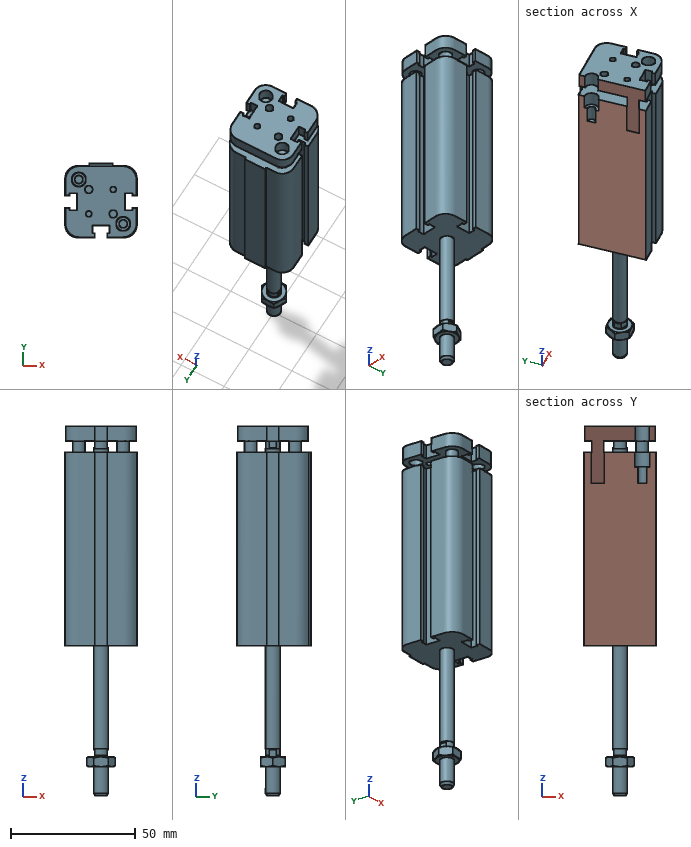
import cadquery as cq
import math

housing_width = 29.0
housing_bottom = 60.5
housing_top = 138.5
rail_width = 9.5
rail_height = 0.9

plate_width = 28.5
plate_bottom = 143.0
plate_top = 149.0

corner_center = 9.1
pin_offset = 9.0

slot_mouth_width = 4.9
slot_inner_width = 6.7
slot_lip = 12.7
slot_floor = 9.7
slot_angles = (0, 180, 270)

rod_diameter = 6.0
neck_diameter = 5.8
upper_neck_length = 3.1
lower_neck_length = 2.7
neck_collar = 0.5
neck_gap = 0.6
rod_flats = 5.0
tip_chamfer_height = 1.2
tip_chamfer_width = 0.7

pin_diameter = 5.0
pin_depth = 12.5

mounting_hole_diameter = 3.3
mounting_hole_depth = 12.5
counterbore_diameter = 6.0
counterbore_depth = 6.0
access_hole_diameter = 5.5

fixing_offset = 4.9
fixing_hole_large = 3.1
fixing_hole_small = 2.4

nut_bottom = 11.8
nut_height = 4.0
nut_flats = 10.0
nut_face_diameter = 9.8
nut_chamfer_angle = 30

pin_points = [(-pin_offset, -pin_offset), (pin_offset, pin_offset)]
mounting_points = [(-pin_offset, pin_offset), (pin_offset, -pin_offset)]
large_fixing_points = [(-fixing_offset, fixing_offset), (fixing_offset, -fixing_offset)]
small_fixing_points = [(-fixing_offset, -fixing_offset), (fixing_offset, fixing_offset)]
nut_top = nut_bottom + nut_height
lower_neck_top = nut_top + neck_gap + lower_neck_length


def block(x_range, y_range, z_range):
    """Box between the given limits."""
    size = [high - low for low, high in (x_range, y_range, z_range)]
    corner = (x_range[0], y_range[0], z_range[0])
    return cq.Workplane("XY").box(*size, centered=False).translate(corner)


def cylinders(points, diameter, bottom, top):
    """Vertical cylinders at the given points."""
    plane = cq.Workplane("XY").workplane(offset=bottom)
    return plane.pushPoints(points).circle(diameter / 2).extrude(top - bottom)


def slotted_prism(width, bottom, top):
    """Square prism with rounded corners and a T-slot in three sides."""
    half = width / 2
    prism = block((-half, half), (-half, half), (bottom, top))
    prism = prism.edges("|Z").fillet(half - corner_center)
    mouth_half = slot_mouth_width / 2
    inner_half = slot_inner_width / 2
    mouth = block((slot_floor, width), (-mouth_half, mouth_half), (bottom, top))
    inner = block((slot_floor, slot_lip), (-inner_half, inner_half), (bottom, top))
    slot = mouth.union(inner)
    for angle in slot_angles:
        prism = prism.cut(slot.rotate((0, 0, 0), (0, 0, 1), angle))
    return prism


def make_housing():
    housing = slotted_prism(housing_width, housing_bottom, housing_top)

    half = housing_width / 2
    rail = block((-rail_width / 2, rail_width / 2), (0, half + rail_height), (housing_bottom, housing_top))
    housing = housing.union(rail)

    housing = housing.cut(cylinders([(0, 0)], rod_diameter, housing_bottom, housing_top))
    housing = housing.cut(cylinders(pin_points, pin_diameter, housing_top - pin_depth, housing_top))

    hole_floor = housing_top - mounting_hole_depth
    housing = housing.cut(cylinders(mounting_points, mounting_hole_diameter, hole_floor, housing_top))
    counterbore_floor = housing_top - counterbore_depth
    return housing.cut(cylinders(mounting_points, counterbore_diameter, counterbore_floor, housing_top))


def cut_neck(rod, bottom, top):
    """Turn the rod down to the neck diameter between two heights."""
    ring = cylinders([(0, 0)], 2 * rod_diameter, bottom, top)
    core = cylinders([(0, 0)], neck_diameter, bottom, top)
    return rod.cut(ring.cut(core))


def cut_flats(rod, bottom, top):
    """Mill a pair of wrench flats facing -X and +X."""
    outer = rod_diameter
    for side in (0, 180):
        flat = block((rod_flats / 2, outer), (-outer, outer), (bottom, top))
        rod = rod.cut(flat.rotate((0, 0, 0), (0, 0, 1), side))
    return rod


def make_rod():
    """Through rod with two necks, their wrench flats and a chamfered tip."""
    rod = cylinders([(0, 0)], rod_diameter, 0, plate_bottom)
    rod = rod.faces("<Z").chamfer(tip_chamfer_height, tip_chamfer_width)

    rod = cut_neck(rod, plate_bottom - upper_neck_length, plate_bottom)
    rod = cut_flats(rod, plate_bottom - upper_neck_length + neck_collar, plate_bottom)

    rod = cut_neck(rod, lower_neck_top - lower_neck_length, lower_neck_top)
    return cut_flats(rod, nut_top, lower_neck_top - neck_collar)


def make_plunger():
    """End plate carrying the through rod and the two guide pins."""
    plunger = slotted_prism(plate_width, plate_bottom, plate_top)
    plunger = plunger.cut(cylinders(mounting_points, access_hole_diameter, plate_bottom, plate_top))
    plunger = plunger.cut(cylinders(large_fixing_points, fixing_hole_large, plate_bottom, plate_top))
    plunger = plunger.cut(cylinders(small_fixing_points, fixing_hole_small, plate_bottom, plate_top))
    plunger = plunger.union(make_rod())
    return plunger.union(cylinders(pin_points, pin_diameter, housing_top - pin_depth, plate_bottom))


def make_nut():
    """Hexagon nut with both rims chamfered, corners along X."""
    corner_radius = nut_flats / 2 / math.cos(math.pi / 6)
    face_radius = nut_face_diameter / 2
    chamfer_height = (corner_radius - face_radius) * math.tan(math.radians(nut_chamfer_angle))
    hexagon = cq.Workplane("XY").polygon(6, 2 * corner_radius).extrude(nut_height)
    envelope = (
        cq.Workplane("XZ")
        .polyline([
            (0, 0),
            (face_radius, 0),
            (corner_radius, chamfer_height),
            (corner_radius, nut_height - chamfer_height),
            (face_radius, nut_height),
            (0, nut_height),
        ])
        .close()
        .revolve(360, (0, 0), (0, 1))
    )
    nut = hexagon.intersect(envelope).translate((0, 0, nut_bottom))
    return nut.cut(cylinders([(0, 0)], rod_diameter, nut_bottom, nut_top))


housing = make_housing()
plunger = make_plunger()
nut = make_nut()

result = cq.Compound.makeCompound([housing.val(), plunger.val(), nut.val()])